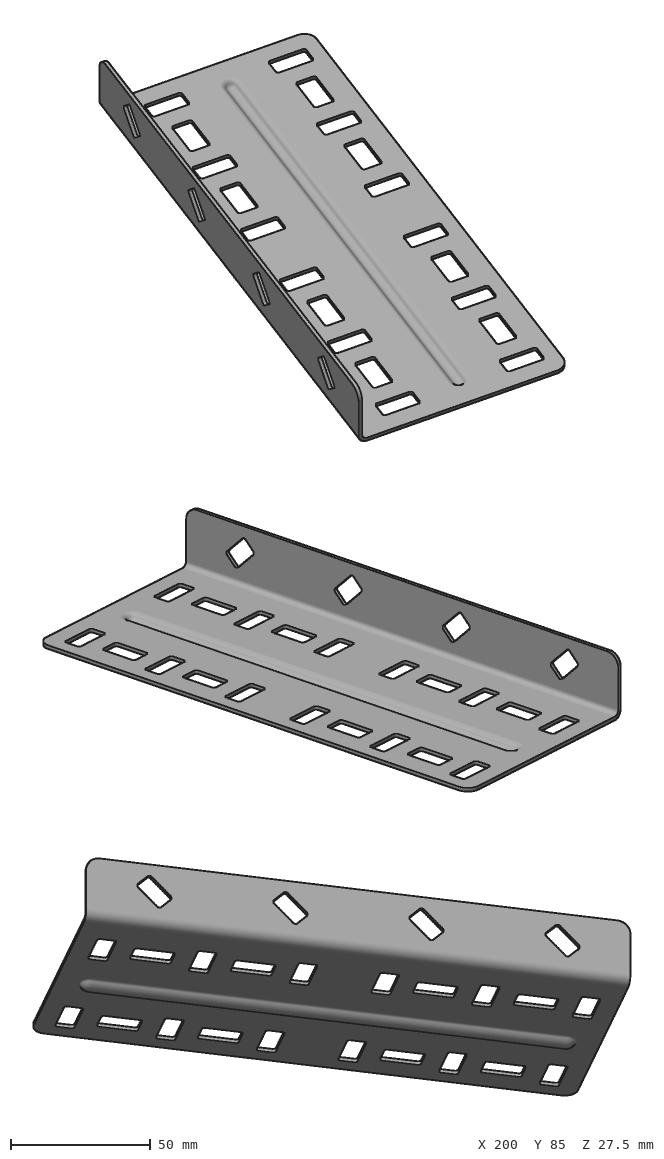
import cadquery as cq
import math

length = 200.0
depth = 85.0
flange_height = 25.0
thickness = 1.5
inner_bend_radius = 2.0
corner_radius = 5.0

slot_corner_radius = 1.0

slot_length = 15.0
across_slot_width = 7.0
along_slot_width = 8.0
first_slot_x = 15.0
slot_pitch = 18.5
slots_per_half_row = 5
slot_row_spacing = 50.0
slot_rows_center_y = 46.5

flange_slot_length = 12.0
flange_slot_width = 7.0
flange_slot_pitch = 50.0
flange_slot_count = 4
flange_slot_z = 14.0
flange_slot_angle = 45.0

bead_width = 9.0
bead_depth = 2.5
bead_end_margin = 8.0
bead_center_y = 46.7
bead_floor_radius = 2.5

bead_half_width = bead_width / 2
bead_arc_angle = 2 * math.atan(bead_depth / bead_half_width)
bead_rim_radius = bead_half_width / math.sin(bead_arc_angle) - bead_floor_radius
bead_end_x = length / 2 - bead_end_margin - bead_half_width


def make_angle():
    """L-shaped sheet: base plate on Z = 0 and a flange standing on Y = 0."""
    outer_bend_radius = inner_bend_radius + thickness
    bend_lower = outer_bend_radius * (1 - math.cos(math.pi / 4))
    bend_inner = outer_bend_radius - inner_bend_radius * math.cos(math.pi / 4)
    profile = (
        cq.Workplane("YZ", origin=(-length / 2, 0, 0))
        .moveTo(depth, 0)
        .lineTo(outer_bend_radius, 0)
        .threePointArc((bend_lower, bend_lower), (0, outer_bend_radius))
        .lineTo(0, flange_height)
        .lineTo(thickness, flange_height)
        .lineTo(thickness, outer_bend_radius)
        .threePointArc((bend_inner, bend_inner), (outer_bend_radius, thickness))
        .lineTo(depth, thickness)
        .close()
    )
    angle = profile.extrude(length)
    angle = angle.faces(">Y").edges("|Z").fillet(corner_radius)
    return angle.faces(">Z").edges("|Y").fillet(corner_radius)


def make_slot(size_x, size_y):
    """Rounded rectangular cutter centered on the origin, deep enough to pass through the sheet."""
    blank = cq.Workplane("XY").box(size_x, size_y, 4 * thickness)
    return blank.edges("|Z").fillet(slot_corner_radius)


def cut_base_slots(part):
    """Two rows of slots, mirrored about X = 0, alternating across and along the plate."""
    across = make_slot(across_slot_width, slot_length)
    along = make_slot(slot_length, along_slot_width)
    for row_side in (-1, 1):
        y = slot_rows_center_y + row_side * slot_row_spacing / 2
        for half in (-1, 1):
            for index in range(slots_per_half_row):
                x = half * (first_slot_x + index * slot_pitch)
                slot = across if index % 2 == 0 else along
                part = part.cut(slot.translate((x, y, thickness / 2)))
    return part


def cut_flange_slots(part):
    """Evenly spaced diagonal slots through the flange."""
    slot = (
        make_slot(flange_slot_length, flange_slot_width)
        .rotate((0, 0, 0), (1, 0, 0), 90)
        .rotate((0, 0, 0), (0, 1, 0), flange_slot_angle)
    )
    first_x = -(flange_slot_count - 1) * flange_slot_pitch / 2
    for index in range(flange_slot_count):
        x = first_x + index * flange_slot_pitch
        part = part.cut(slot.translate((x, thickness / 2, flange_slot_z)))
    return part


def bead_outline(rim_z, rim_radius, floor_radius):
    """Points (offset from center line, z) on one bead side, from the rim down to the floor.

    rim_z is the level of the sheet face the bead runs out into.
    """
    floor_z = rim_z - bead_depth
    half_angle = bead_arc_angle / 2
    rim = (bead_half_width, rim_z)
    rim_mid = (
        bead_half_width - rim_radius * math.sin(half_angle),
        rim_z - rim_radius * (1 - math.cos(half_angle)),
    )
    tangent = (
        floor_radius * math.sin(bead_arc_angle),
        floor_z + floor_radius * (1 - math.cos(bead_arc_angle)),
    )
    floor_mid = (
        floor_radius * math.sin(half_angle),
        floor_z + floor_radius * (1 - math.cos(half_angle)),
    )
    floor = (0, floor_z)
    return rim, rim_mid, tangent, floor_mid, floor


def mirrored(point):
    """The same point on the other side of the bead center line."""
    return (-point[0], point[1])


def make_bead_body(rim_z, rim_radius, floor_radius, closing_z):
    """Bead with round ends, filled from its arcs up to closing_z."""
    rim, rim_mid, tangent, floor_mid, floor = bead_outline(rim_z, rim_radius, floor_radius)
    body = (
        cq.Workplane("YZ")
        .moveTo(*rim)
        .threePointArc(rim_mid, tangent)
        .threePointArc(floor, mirrored(tangent))
        .threePointArc(mirrored(rim_mid), mirrored(rim))
        .lineTo(-bead_half_width, closing_z)
        .lineTo(bead_half_width, closing_z)
        .close()
        .extrude(bead_end_x, both=True)
    )
    end = (
        cq.Workplane("XZ")
        .moveTo(*rim)
        .threePointArc(rim_mid, tangent)
        .threePointArc(floor_mid, floor)
        .lineTo(0, closing_z)
        .lineTo(bead_half_width, closing_z)
        .close()
        .revolve(360, (0, 0, 0), (0, 1, 0))
    )
    for side in (-1, 1):
        body = body.union(end.translate((side * bead_end_x, 0, 0)))
    return body.translate((0, bead_center_y, 0))


def form_bead(part):
    """Press the bead: add its lower skin, then clear the groove above it."""
    skin = make_bead_body(0, bead_rim_radius - thickness, bead_floor_radius + thickness, thickness)
    groove = make_bead_body(thickness, bead_rim_radius, bead_floor_radius, 2 * thickness)
    return part.union(skin).cut(groove)


result = form_bead(cut_flange_slots(cut_base_slots(make_angle())))